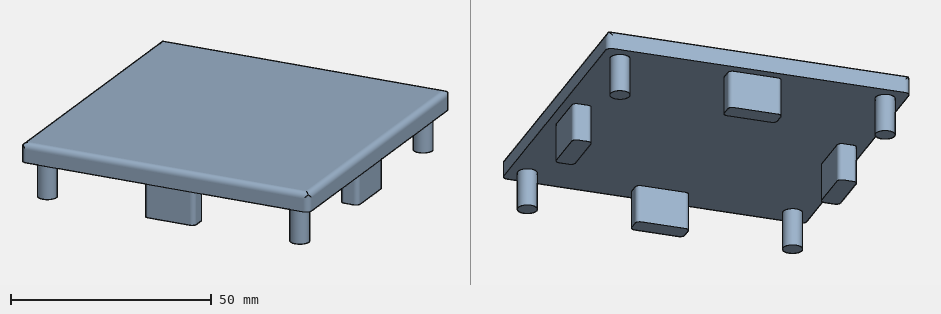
import cadquery as cq

side = 80.0
plate_height = 5.0
edge_radius = 1.5

leg_height = 10.0
leg_inset = 2.5
leg_thickness = 5.0
tab_width = 14.0
tab_corner_radius = 1.2

leg_offset = side / 2 - leg_inset - leg_thickness / 2


def make_rounded_bar(direction):
    """Plate-sized block whose edges along the given axis are rounded, with the underside kept sharp."""
    block = cq.Workplane("XY").box(side, side, plate_height, centered=(True, True, False))
    return block.edges(f"|{direction}").edges("|Z or >Z").fillet(edge_radius)


def make_plate():
    """Square plate with rounded edges that meet in mitred corners."""
    plate = make_rounded_bar("X")
    for direction in ("Y", "Z"):
        plate = plate.intersect(make_rounded_bar(direction))
    return plate


def make_pegs():
    """Round pegs under the four corners."""
    return (
        cq.Workplane("XY")
        .rect(2 * leg_offset, 2 * leg_offset, forConstruction=True)
        .vertices()
        .circle(leg_thickness / 2)
        .extrude(-leg_height)
    )


def make_tab():
    """Upright tab with rounded corners under the middle of the -Y side."""
    return (
        cq.Workplane("XY")
        .center(0, -leg_offset)
        .rect(tab_width, leg_thickness)
        .extrude(-leg_height)
        .edges("|Z")
        .fillet(tab_corner_radius)
    )


result = make_plate().union(make_pegs())
for angle in (0, 90, 180, 270):
    result = result.union(make_tab().rotate((0, 0, 0), (0, 0, 1), angle))